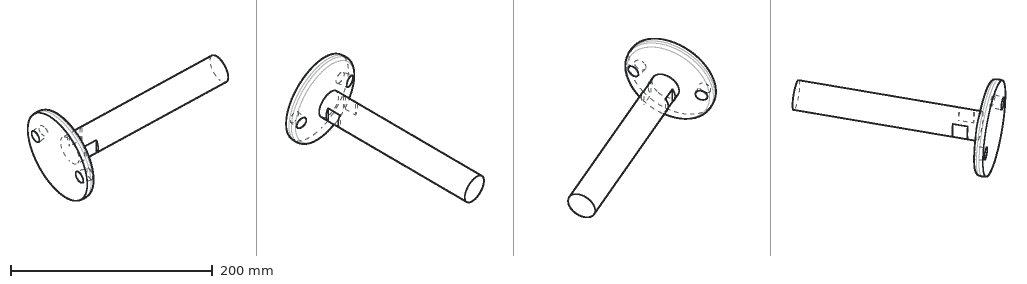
import cadquery as cq
import math

total_length = 202.0
base_diameter = 98.0
stem_diameter = 30.0

sole_diameter = 97.0
sole_height = 4.0
cone_angle = 10.0
rim_taper = 7.0
rim_fillet = 3.5
cone_top = 15.2

hole_diameter = 12.5
hole_offset = 35.8
hole_overrun = 10.0

flat_start = 24.0
flat_length = 15.4
across_flats = 24.0

base_radius = base_diameter / 2
stem_radius = stem_diameter / 2
slope = math.radians(cone_angle)
taper = math.radians(rim_taper)


def make_body():
    """Revolve the base and stem about the Y axis."""
    rim_x = base_radius + sole_height * math.tan(taper) - rim_fillet / math.cos(taper)
    cone_y = cone_top + stem_radius * math.tan(slope) - rim_fillet / math.cos(slope)
    center_x = (rim_x - cone_y * math.tan(taper)) / (1 - math.tan(slope) * math.tan(taper))
    center_y = cone_y - center_x * math.tan(slope)

    def fillet_point(angle):
        return (
            center_x + rim_fillet * math.cos(angle),
            center_y + rim_fillet * math.sin(angle),
        )

    cone_normal = math.pi / 2 - slope
    fillet_middle = fillet_point((taper + cone_normal) / 2)
    return (
        cq.Workplane("XY")
        .lineTo(sole_diameter / 2, 0)
        .lineTo(base_radius, sole_height)
        .lineTo(*fillet_point(taper))
        .threePointArc(fillet_middle, fillet_point(cone_normal))
        .lineTo(stem_radius, cone_top)
        .lineTo(stem_radius, total_length)
        .lineTo(0, total_length)
        .close()
        .revolve(360, (0, 0, 0), (0, 1, 0))
    )


def make_hole(side):
    """Tilted drill that leans outward on the given side (-1 or 1)."""
    direction = cq.Vector(side * math.sin(slope), math.cos(slope), 0)
    start = cq.Vector(side * hole_offset, 0, 0) - direction * hole_overrun
    length = cone_top + 2 * hole_overrun
    return cq.Workplane(cq.Solid.makeCylinder(hole_diameter / 2, length, start, direction))


def make_flat_cut(side):
    """Block that removes the stem outside one wrench flat."""
    inner_x = across_flats / 2
    return cq.Workplane("XY").box(stem_radius, flat_length, stem_diameter).translate(
        (side * (inner_x + stem_radius / 2), flat_start + flat_length / 2, 0)
    )


result = make_body()
for side in (-1, 1):
    result = result.cut(make_hole(side))
    result = result.cut(make_flat_cut(side))